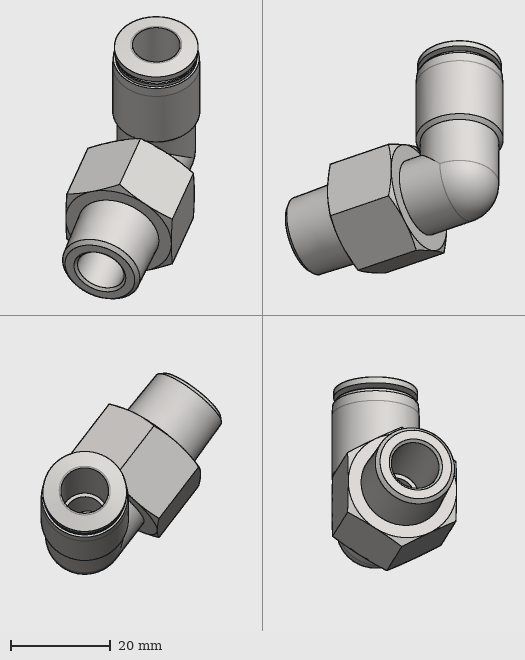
import cadquery as cq
import math


elbow_dia = 15.75
passage_dia = 8.0

hex_across_flats = 22.25
hex_across_corners = hex_across_flats / math.cos(math.radians(30))
hex_start = 9.35
hex_width = 14.72
hex_chamfer_angle = 20

overall_depth = 44.75
thread_end_dia = 16.3
thread_chamfer = 0.8
thread_taper = 1 / 16
thread_bore_dia = 9.8
thread_mouth_dia = 10.9
thread_bore_depth = 17.9

socket_dia = 17.5
socket_rim_dia = 17.25
socket_start = 10.2
socket_bevel_top = 11.0
socket_taper_start = 24.15
socket_top = 26.3

ring_dia = 16.3
ring_top = 27.2
ring_chamfer = 0.2

collar_dia = 16.8
collar_bottom = 28.1
collar_edge_top = 29.4
collar_top = 30.0
collar_face_dia = 10.2
neck_dia = 10.9
neck_flare = 0.22
tube_bore_dia = 9.55
tube_bore_depth = 17.0

hex_end = hex_start + hex_width
thread_end = overall_depth - socket_dia / 2
thread_straight_end = thread_end - thread_chamfer
thread_root_dia = thread_end_dia + thread_taper * (thread_straight_end - hex_end)


def revolve_profile(points):
    """Revolve (radius, height) points, closed along the axis, about Z."""
    closed = [(0, points[0][1])] + points + [(0, points[-1][1])]
    return cq.Workplane("XZ").polyline(closed).close().revolve(360, (0, 0), (0, 1))


def to_thread_axis(body):
    """Turn a body built along +Z so that it points along -Y."""
    return body.rotate((0, 0, 0), (1, 0, 0), 90)


def make_joint(diameter, tube_end, branch_end):
    """Two round legs joined by a ball at the corner."""
    radius = diameter / 2
    tube_leg = cq.Workplane("XY").circle(radius).extrude(tube_end)
    branch_leg = to_thread_axis(cq.Workplane("XY").circle(radius).extrude(branch_end))
    return cq.Workplane("XY").sphere(radius).union(tube_leg).union(branch_leg)


def make_socket():
    """Socket body, closing ring, neck and release collar in one profile."""
    return revolve_profile([
        (elbow_dia / 2, socket_start),
        (socket_dia / 2, socket_bevel_top),
        (socket_dia / 2, socket_taper_start),
        (socket_rim_dia / 2, socket_top),
        (ring_dia / 2, socket_top),
        (ring_dia / 2, ring_top - ring_chamfer),
        (ring_dia / 2 - ring_chamfer, ring_top),
        (neck_dia / 2, ring_top),
        (neck_dia / 2, collar_bottom - neck_flare),
        (neck_dia / 2 + neck_flare, collar_bottom),
        (collar_dia / 2, collar_bottom),
        (collar_dia / 2, collar_edge_top),
        (collar_face_dia / 2, collar_top),
    ])


def make_hexagon():
    """Hexagon with both ends turned down to cones over the corners."""
    flat_radius = hex_across_flats / 2
    corner_radius = hex_across_corners / 2
    bevel = (corner_radius - flat_radius) * math.tan(math.radians(hex_chamfer_angle))
    prism = (
        cq.Workplane("XY").workplane(offset=hex_start)
        .polygon(6, hex_across_corners).extrude(hex_width)
        .rotate((0, 0, 0), (0, 0, 1), 90)
    )
    envelope = revolve_profile([
        (flat_radius, hex_start),
        (corner_radius, hex_start + bevel),
        (corner_radius, hex_end - bevel),
        (flat_radius, hex_end),
    ])
    return to_thread_axis(prism.intersect(envelope))


def make_thread():
    """Tapered thread body with a chamfered end."""
    return to_thread_axis(revolve_profile([
        (thread_root_dia / 2, hex_end),
        (thread_end_dia / 2, thread_straight_end),
        (thread_end_dia / 2 - thread_chamfer, thread_end),
    ]))


def make_thread_bore():
    """Wider bore in the thread with a 45 degree countersunk mouth."""
    mouth_depth = (thread_mouth_dia - thread_bore_dia) / 2
    return to_thread_axis(revolve_profile([
        (thread_bore_dia / 2, thread_end - thread_bore_depth),
        (thread_bore_dia / 2, thread_end - mouth_depth),
        (thread_mouth_dia / 2, thread_end),
    ]))


def make_tube_bore():
    """Straight seat for the tube."""
    return revolve_profile([
        (tube_bore_dia / 2, collar_top - tube_bore_depth),
        (tube_bore_dia / 2, collar_top),
    ])


body = make_joint(elbow_dia, socket_start, hex_start)
body = body.union(make_socket()).union(make_hexagon()).union(make_thread())
passage = make_joint(passage_dia, collar_top, thread_end)
result = body.cut(passage).cut(make_thread_bore()).cut(make_tube_bore())